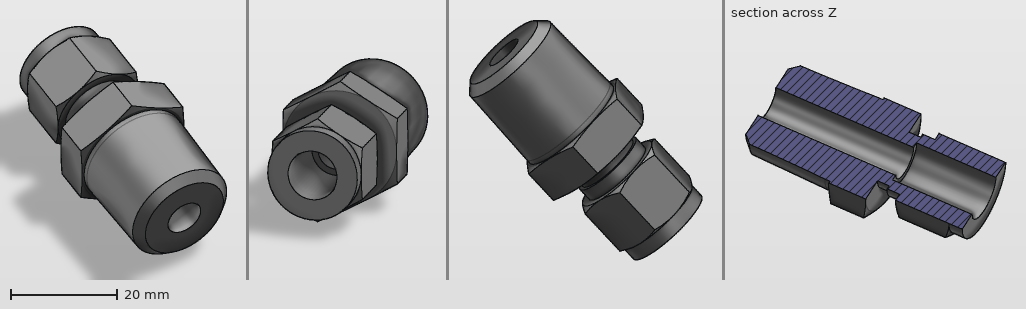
import cadquery as cq
import math


length = 46.2
nut_start = 2.8
nut_end = 14.25
sleeve_end = 16.85
body_start = 19.27
body_end = 27.2
taper_start = 28.2
end_chamfer = 1.75

nut_flats = 17.45
body_flats = 22.25
sleeve_diameter = 14.35
neck_diameter = 12.75
thread_diameter = 21.35
thread_end_diameter = 20.5
bore_diameter = 7.1
socket_diameter = 9.5
socket_depth = sleeve_end

nut_chamfer_angle = 30
body_chamfer_angle = 15

corner_clearance = 0.45


def revolve_profile(points):
    """Turn a closed outline of (x, radius) points about the X axis."""
    return cq.Workplane("XZ").polyline(points).close().revolve(360, (0, 0), (1, 0))


def cylinder(start, end, diameter):
    radius = diameter / 2
    return revolve_profile([(start, 0), (start, radius), (end, radius), (end, 0)])


def chamfered_hexagon(start, end, flats, chamfer_angle):
    """Hexagon with corners on +Z and -Z, its corners turned down to the flats at both ends."""
    corner_diameter = flats / math.cos(math.radians(30))
    prism = (
        cq.Workplane("YZ", origin=(start, 0, 0))
        .transformed(rotate=(0, 0, 90))
        .polygon(6, corner_diameter)
        .extrude(end - start)
    )
    end_radius = flats / 2
    outer_radius = corner_diameter / 2 + corner_clearance
    cone_run = (outer_radius - end_radius) * math.tan(math.radians(chamfer_angle))
    envelope = revolve_profile([
        (start, 0),
        (start, end_radius),
        (start + cone_run, outer_radius),
        (end - cone_run, outer_radius),
        (end, end_radius),
        (end, 0),
    ])
    return prism.intersect(envelope)


def tapered_thread():
    """Plain collar, tapered thread envelope and a 45 degree chamfer at the end."""
    chamfer_start = length - end_chamfer
    start_radius = thread_diameter / 2
    small_radius = thread_end_diameter / 2
    return revolve_profile([
        (body_end, 0),
        (body_end, start_radius),
        (taper_start, start_radius),
        (chamfer_start, small_radius),
        (length, small_radius - end_chamfer),
        (length, 0),
    ])


nut = cylinder(0, nut_start, nut_flats).union(
    chamfered_hexagon(nut_start, nut_end, nut_flats, nut_chamfer_angle)
)
sleeve = cylinder(nut_end, sleeve_end, sleeve_diameter)
neck = cylinder(sleeve_end, body_start, neck_diameter)
body = chamfered_hexagon(body_start, body_end, body_flats, body_chamfer_angle)

outside = nut.union(sleeve).union(neck).union(body).union(tapered_thread())
bore = cylinder(0, length, bore_diameter)
socket = cylinder(0, socket_depth, socket_diameter)

result = outside.cut(bore).cut(socket)